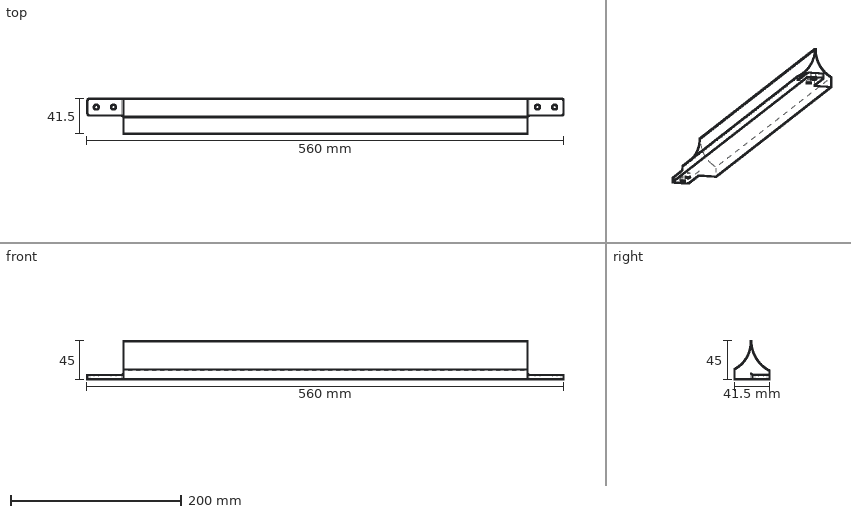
import cadquery as cq

total_length = 560.0
width = 41.5
height = 45.0

body_length = 475.0
front_wall_height = 12.0
back_wall_height = 10.0
ridge_width = 1.0
ridge_offset = 22.5
front_flank_radius = 35.0
back_flank_radius = 38.5

tab_width = 20.0
tab_thickness = 5.0
tab_corner_radius = 3.0
root_fillet_radius = 2.0
hole_diameter = 5.5
hole_end_distance = 10.5
hole_spacing = 20.0

back_y = width / 2
front_y = -width / 2
ridge_front_y = back_y - ridge_offset
ridge_back_y = ridge_front_y + ridge_width
half_length = total_length / 2
half_body = body_length / 2
tab_front_y = back_y - tab_width
tab_center_y = back_y - tab_width / 2


def make_body():
    """Extrude the flanked cross-section along X."""
    return (
        cq.Workplane("YZ", origin=(-half_body, 0, 0))
        .moveTo(front_y, 0)
        .lineTo(front_y, front_wall_height)
        .radiusArc((ridge_front_y, height), -front_flank_radius)
        .lineTo(ridge_back_y, height)
        .radiusArc((back_y, back_wall_height), -back_flank_radius)
        .lineTo(back_y, 0)
        .close()
        .extrude(body_length)
    )


def make_strip():
    """One flat strip through the body whose rounded ends form both tabs."""
    return (
        cq.Workplane("XY", origin=(0, tab_center_y, 0))
        .rect(total_length, tab_width)
        .extrude(tab_thickness)
        .edges("|Z")
        .fillet(tab_corner_radius)
    )


def fillet_roots(part):
    """Blend the top and front of each tab into the body end faces."""
    margin = 0.05
    for side in (-1, 1):
        root_x = side * half_body
        roots = cq.selectors.BoxSelector(
            (root_x - margin, tab_front_y - margin, -margin),
            (root_x + margin, back_y + margin, tab_thickness + margin),
            boundingbox=True,
        )
        inner_edges = part.edges(roots).edges(
            cq.selectors.BoxSelector(
                (root_x - margin, tab_front_y - margin, margin),
                (root_x + margin, back_y - margin, tab_thickness + margin),
            )
        )
        part = inner_edges.fillet(root_fillet_radius)
    return part


def drill_tabs(part):
    """Cut two through holes in each tab."""
    outer_x = half_length - hole_end_distance
    inner_x = outer_x - hole_spacing
    holes = (
        cq.Workplane("XY")
        .pushPoints([(x, tab_center_y) for x in (-outer_x, -inner_x, inner_x, outer_x)])
        .circle(hole_diameter / 2)
        .extrude(tab_thickness)
    )
    return part.cut(holes)


result = drill_tabs(fillet_roots(make_body().union(make_strip())))